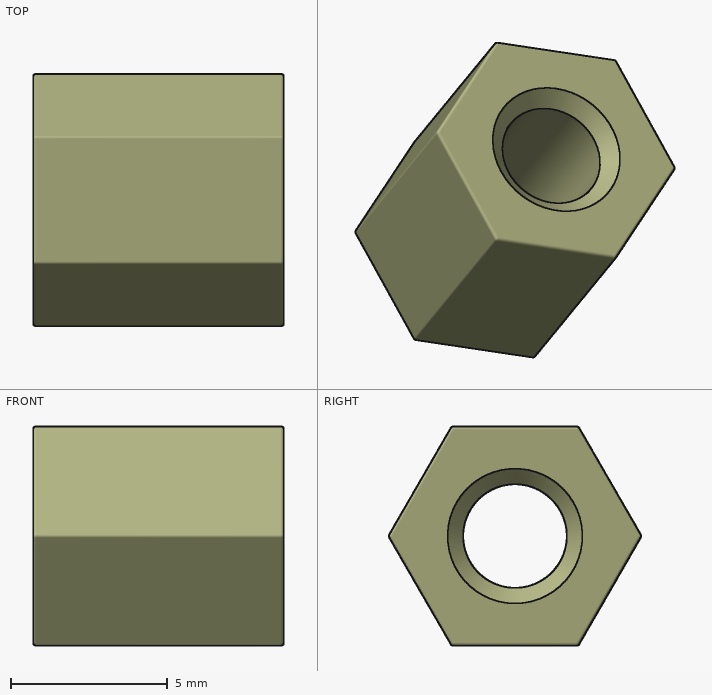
import cadquery as cq
import math

length = 8.0
side_count = 6
across_flats = 7.0
edge_radius = 0.1
bore_diameter = 3.3
countersink_diameter = 4.3

across_corners = across_flats / math.cos(math.pi / side_count)
countersink_depth = (countersink_diameter - bore_diameter) / 2


def hexagonal_body():
    """Hexagonal bar centred on the origin, flats up and down, all edges rounded."""
    bar = cq.Workplane("YZ").polygon(side_count, across_corners).extrude(length / 2, both=True)
    return bar.edges().fillet(edge_radius)


def countersunk_bore():
    """Through bore along X, opening into a cone at each end."""
    bore = cq.Workplane("YZ").circle(bore_diameter / 2).extrude(length / 2, both=True)
    return bore.union(end_cone(-1)).union(end_cone(1))


def end_cone(side):
    """Countersink cone whose wide end lies on the end face at side * length / 2."""
    return cq.Workplane(
        cq.Solid.makeCone(
            countersink_diameter / 2,
            bore_diameter / 2,
            countersink_depth,
            pnt=cq.Vector(side * length / 2, 0, 0),
            dir=cq.Vector(-side, 0, 0),
        )
    )


result = hexagonal_body().cut(countersunk_bore())